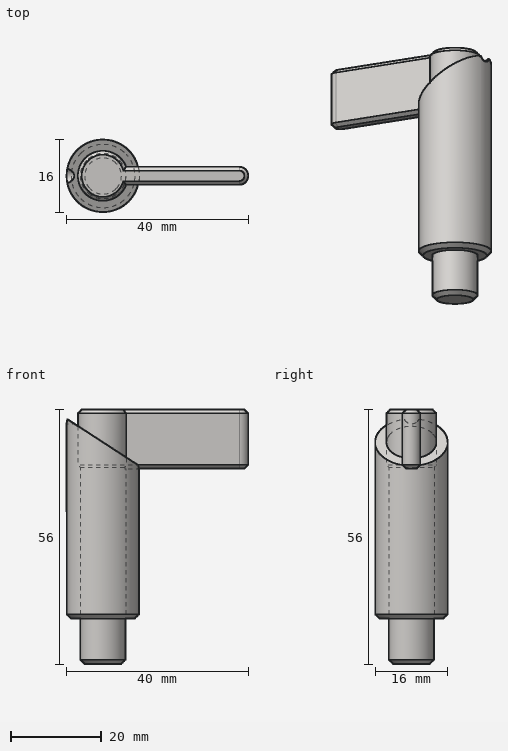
import cadquery as cq
import math

sleeve_diameter = 16.0
sleeve_radius = sleeve_diameter / 2
sleeve_peak_height = 44.0
sleeve_slope_angle = 33.0
sleeve_slope_drop = sleeve_diameter * math.tan(math.radians(sleeve_slope_angle))
sleeve_chamfer = 1.0

notch_radius = 1.8
notch_bottom_height = 42.9

head_diameter = 11.0
head_radius = head_diameter / 2
lever_top = 46.0
lever_depth = 13.0
lever_bottom = lever_top - lever_depth
lever_chamfer = 0.85
arm_thickness = 4.0
arm_reach = 32.0
arm_end_radius = arm_thickness / 2
pin_diameter = 10.0
pin_projection = 10.0
pin_chamfer = 1.0


def make_lever():
    head = (
        cq.Workplane("XY")
        .workplane(offset=lever_bottom)
        .circle(head_radius)
        .extrude(lever_depth)
    )
    arm_end_center = arm_reach - arm_end_radius
    arm = (
        cq.Workplane("XY")
        .workplane(offset=lever_bottom)
        .moveTo(0, -arm_end_radius)
        .lineTo(arm_end_center, -arm_end_radius)
        .threePointArc((arm_reach, 0), (arm_end_center, arm_end_radius))
        .lineTo(0, arm_end_radius)
        .close()
        .extrude(lever_depth)
    )
    handle = head.union(arm).faces("<Z or >Z").chamfer(lever_chamfer)
    pin = (
        cq.Workplane("XY")
        .workplane(offset=-pin_projection)
        .circle(pin_diameter / 2)
        .extrude(pin_projection + lever_bottom + lever_chamfer)
        .faces("<Z")
        .chamfer(pin_chamfer)
    )
    return handle.union(pin)


def make_sleeve(lever):
    barrel = (
        cq.Workplane("XY")
        .circle(sleeve_radius)
        .extrude(sleeve_peak_height)
        .faces("<Z")
        .chamfer(sleeve_chamfer)
    )
    wedge = (
        cq.Workplane("XZ")
        .moveTo(-sleeve_radius, sleeve_peak_height)
        .lineTo(sleeve_radius, sleeve_peak_height)
        .lineTo(sleeve_radius, sleeve_peak_height - sleeve_slope_drop)
        .close()
        .extrude(sleeve_radius, both=True)
    )
    notch = (
        cq.Workplane("YZ")
        .workplane(offset=-sleeve_radius)
        .center(0, notch_bottom_height + notch_radius)
        .circle(notch_radius)
        .extrude(sleeve_radius)
    )
    return barrel.cut(wedge).cut(notch).cut(lever)


lever = make_lever()
sleeve = make_sleeve(lever)

result = cq.Compound.makeCompound([sleeve.val(), lever.val()])